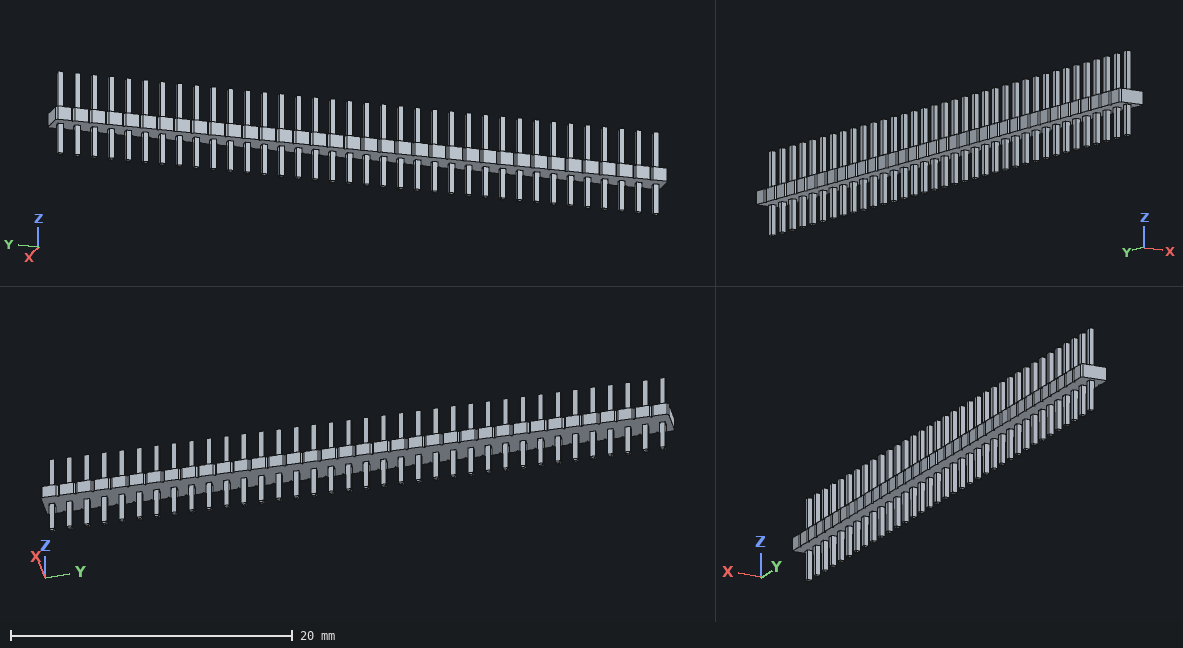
import cadquery as cq

PITCH = 1.27
PIN_COUNT = 36
PIN_WIDTH = 0.4
PIN_TIP_CHAMFER = 0.1

PIN_ABOVE_BODY = 3.0
BODY_HEIGHT = 1.0
PIN_BELOW_BODY = 2.3

BODY_WIDTH = 2.1
CORNER_CHAMFER = PITCH / 10

ROW_LENGTH = PITCH * PIN_COUNT
PIN_LENGTH = PIN_ABOVE_BODY + BODY_HEIGHT + PIN_BELOW_BODY

PIN_CENTRES = [(0, (i + 0.5) * PITCH - ROW_LENGTH / 2) for i in range(PIN_COUNT)]


def make_body():
    """Bar of one-pin segments; their chamfered corners leave V-notches between neighbours."""
    outer_x = BODY_WIDTH / 2
    notch_x = outer_x - CORNER_CHAMFER
    half_flat = PITCH / 2 - CORNER_CHAMFER

    side = []
    for _, centre in PIN_CENTRES:
        side.append((notch_x, centre - PITCH / 2))
        side.append((outer_x, centre - half_flat))
        side.append((outer_x, centre + half_flat))
    side.append((notch_x, ROW_LENGTH / 2))
    opposite_side = [(-x, -y) for x, y in side]

    return cq.Workplane("XY").polyline(side + opposite_side).close().extrude(BODY_HEIGHT)


def make_pins():
    """Square pins with chamfered tips at both ends."""
    return (
        cq.Workplane("XY", origin=(0, 0, -PIN_BELOW_BODY))
        .pushPoints(PIN_CENTRES)
        .rect(PIN_WIDTH, PIN_WIDTH)
        .extrude(PIN_LENGTH)
        .faces("<Z or >Z")
        .chamfer(PIN_TIP_CHAMFER)
    )


result = make_body().union(make_pins())